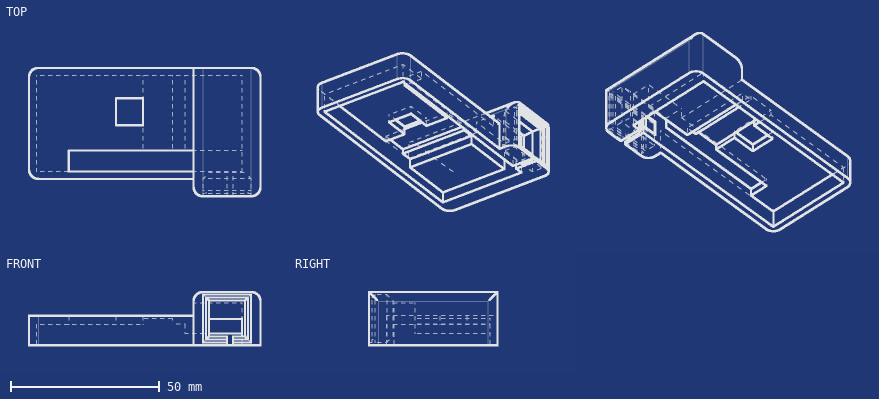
import cadquery as cq

length = 77.95
depth = 43.25
tower_height = 18.0
tower_width = 22.6
plate_height = 10.0
plate_front = 5.85
corner_radius = 3.3
step = 1.0

tower_left = length - tower_width
tower_center = length - tower_width / 2

mouth_width = tower_width - 2 * corner_radius
lip_width = mouth_width - 2 * step
throat_width = mouth_width - 4 * step
groove_start = 2 * step
groove_end = 6.0
throat_depth = 8.0
mouth_center_z = step + mouth_width / 2

slit_width = 2.0
slit_left = tower_left + 11.3

slot_left = 13.5
slot_right = tower_left + 16.3
slot_front = 8.4
slot_back = 15.4
slot_tower_height = 14.2
window_top = 8.9

opening_side = 9.05
opening_left = 29.3
opening_front = 23.9

outer_wall = slot_front - plate_front
skin = step
left_height = 6.9
hollow_left = opening_left + opening_side
middle_left = tower_left - 7.0
middle_height = 7.25
tower_hollow_left = tower_left - 2.8
tower_hollow_height = 4.0


def box(x_range, y_range, z_range):
    """Box spanning the given ranges."""
    sizes = [end - start for start, end in (x_range, y_range, z_range)]
    corner = (x_range[0], y_range[0], z_range[0])
    return cq.Workplane("XY").box(*sizes, centered=False).translate(corner)


def square_face(width, y):
    """Square outline centered on the mouth at the given depth."""
    center = (tower_center, y, mouth_center_z)
    return cq.Workplane("XZ", origin=center).rect(width, width)


def square_recess(width, start, end):
    """Straight square recess between two depths."""
    return square_face(width, start).extrude(start - end)


plate = box((0, length - corner_radius), (plate_front, depth), (0, plate_height))
plate = plate.edges("|Z and <X").fillet(corner_radius)

tower = box((tower_left, length), (0, depth), (0, tower_height))
top_profile = tower.edges("|Y and >Z").fillet(corner_radius)
corner_profile = tower.edges("|Z and (<Y or >X)").fillet(corner_radius)
body = plate.union(top_profile.intersect(corner_profile))

taper = (
    square_face(mouth_width, groove_end)
    .workplane(offset=groove_end - throat_depth)
    .rect(throat_width, throat_width)
    .loft(combine=True)
)
body = body.cut(square_recess(mouth_width, 0, step))
body = body.cut(square_recess(lip_width, step, groove_start))
body = body.cut(square_recess(mouth_width, groove_start, groove_end))
body = body.cut(taper)

throat_floor = mouth_center_z - throat_width / 2
throat_left = tower_center - throat_width / 2
body = body.cut(box((slit_left, slit_left + slit_width), (0, slot_front), (0, throat_floor)))
body = body.cut(box((throat_left, slot_right), (throat_depth, slot_front), (throat_floor, window_top)))

slot_y = (slot_front, slot_back)
body = body.cut(box((slot_left, slot_right), slot_y, (0, slot_tower_height)))
opening_x = (opening_left, opening_left + opening_side)
opening_y = (opening_front, opening_front + opening_side)
body = body.cut(box(opening_x, opening_y, (0, plate_height)))

hollow_y = (slot_front, depth - outer_wall)
hollow_steps = [
    (outer_wall, hollow_left, left_height),
    (hollow_left, middle_left, plate_height - skin),
    (middle_left, tower_hollow_left, middle_height),
    (tower_hollow_left, slot_right, tower_hollow_height),
]
for left, right, height in hollow_steps:
    body = body.cut(box((left, right), hollow_y, (0, height)))

result = body